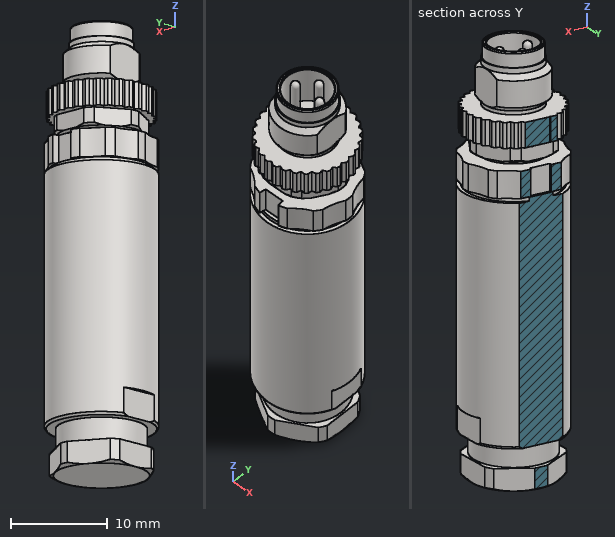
import cadquery as cq
import math

LENGTH = 48.0
GLAND_NUT_TOP = 2.55
BODY_BOTTOM = 5.0
BODY_TOP = 32.3
RING_BOTTOM = 32.75
RING_TOP = 35.8
HEX_BOTTOM = 36.4
KNURL_BOTTOM = 38.25
KNURL_TOP = 41.15
COLLAR_BOTTOM = 41.55
COLLAR_TOP = 45.7
PLUG_STEP = 46.3

GLAND_NUT_FLATS = 10.0
GLAND_NUT_DIAMETER = 11.0
GLAND_NUT_CHAMFER_HEIGHT = 0.3
GLAND_NECK_DIAMETER = 9.5

BODY_DIAMETER = 11.9
BODY_CHAMFER = 0.2
BODY_CHAMFER_HEIGHT = 0.3
BODY_FLATS = 11.05
BODY_FLATS_TOP = 8.0

BODY_GROOVE_DIAMETER = 11.0
GRIP_COUNT = 10
GRIP_LAND_HALF_ANGLE = 4.9
GRIP_DEPTH = 0.3
RING_POCKET_DEPTH = 0.9
RING_POCKET_FLOOR_WIDTH = 2.4
RING_POCKET_MOUTH_WIDTH = 2.7

RING_NECK_DIAMETER = 7.4
HEX_FLATS = 9.1
HEX_DIAMETER = 9.95
HEX_BOTTOM_DIAMETER = 9.3
HEX_CHAMFER_HEIGHT = 0.25

KNURL_DIAMETER = 11.4
KNURL_ROOT_DIAMETER = 10.8
KNURL_COUNT = 30
KNURL_CREST_WIDTH = 0.2
KNURL_GROOVE_WIDTH = 0.75
KNURL_GROOVE_DEPTH = 0.3

PLUG_NECK_DIAMETER = 6.75
PLUG_DIAMETER = 6.55
PLUG_RIM_CHAMFER = 0.15
COLLAR_DIAMETER = 8.0
COLLAR_FLATS = 6.8
COLLAR_CHAMFER_HEIGHT = 0.6
BORE_DIAMETER = 5.6
BORE_MOUTH_DIAMETER = 5.8
BORE_MOUTH_DEPTH = 0.15
BORE_DEPTH = 4.8

PIN_DIAMETER = 1.0
PIN_OFFSET = 1.75
PIN_TIP = 47.7


def cylinder(diameter, bottom, top):
    """Upright cylinder on the Z axis."""
    return cq.Workplane("XY").workplane(offset=bottom).circle(diameter / 2).extrude(top - bottom)


def cone(bottom_diameter, top_diameter, bottom, top):
    """Upright truncated cone on the Z axis."""
    return cq.Workplane("XY").add(
        cq.Solid.makeCone(
            bottom_diameter / 2,
            top_diameter / 2,
            top - bottom,
            pnt=cq.Vector(0, 0, bottom),
        )
    )


def block(size_x, size_y, bottom, top):
    """Upright block on the Z axis."""
    return cq.Workplane("XY").workplane(offset=bottom).rect(size_x, size_y).extrude(top - bottom)


def polar(radius, degrees):
    """Point in the XY plane at a radius and an angle from +X."""
    angle = math.radians(degrees)
    return (radius * math.cos(angle), radius * math.sin(angle))


def hexagon(flats, bottom, top, turn):
    """Hexagonal prism; a corner points along +X before it is turned about Z."""
    across_corners = flats / math.cos(math.radians(30))
    prism = cq.Workplane("XY").workplane(offset=bottom).polygon(6, across_corners).extrude(top - bottom)
    return prism.rotate((0, 0, 0), (0, 0, 1), turn)


def make_gland_nut():
    chamfer_top = GLAND_NUT_CHAMFER_HEIGHT
    turned = cone(GLAND_NUT_FLATS, GLAND_NUT_DIAMETER, 0, chamfer_top)
    turned = turned.union(cylinder(GLAND_NUT_DIAMETER, chamfer_top, GLAND_NUT_TOP))
    return turned.intersect(hexagon(GLAND_NUT_FLATS, 0, GLAND_NUT_TOP, 30))


def make_body():
    chamfer_top = BODY_BOTTOM + BODY_CHAMFER_HEIGHT
    body = cone(BODY_DIAMETER - 2 * BODY_CHAMFER, BODY_DIAMETER, BODY_BOTTOM, chamfer_top)
    body = body.union(cylinder(BODY_DIAMETER, chamfer_top, BODY_TOP))
    lower = block(BODY_FLATS, BODY_DIAMETER, BODY_BOTTOM, BODY_FLATS_TOP)
    upper = cylinder(BODY_DIAMETER, BODY_FLATS_TOP, BODY_TOP)
    return body.intersect(lower.union(upper))


def make_grip_ring():
    """Ring with concave finger grips between lands, and pockets on the +Y and -Y sides."""
    radius = BODY_DIAMETER / 2
    pitch = 360 / GRIP_COUNT
    outline = cq.Workplane("XY").workplane(offset=RING_BOTTOM)
    outline = outline.moveTo(*polar(radius, -GRIP_LAND_HALF_ANGLE))
    for index in range(GRIP_COUNT):
        land = index * pitch
        next_land_start = land + pitch - GRIP_LAND_HALF_ANGLE
        outline = outline.threePointArc(polar(radius, land), polar(radius, land + GRIP_LAND_HALF_ANGLE))
        outline = outline.threePointArc(
            polar(radius - GRIP_DEPTH, land + pitch / 2),
            polar(radius, next_land_start),
        )
    ring = outline.close().extrude(RING_TOP - RING_BOTTOM)

    floor = radius - RING_POCKET_DEPTH
    pocket = (
        cq.Workplane("XY")
        .workplane(offset=RING_BOTTOM)
        .moveTo(-RING_POCKET_FLOOR_WIDTH / 2, floor)
        .lineTo(RING_POCKET_FLOOR_WIDTH / 2, floor)
        .lineTo(RING_POCKET_MOUTH_WIDTH / 2, radius)
        .lineTo(-RING_POCKET_MOUTH_WIDTH / 2, radius)
        .close()
        .extrude(RING_TOP - RING_BOTTOM)
    )
    return ring.cut(pocket).cut(pocket.mirror("XZ"))


def make_hexagon():
    chamfer_top = HEX_BOTTOM + HEX_CHAMFER_HEIGHT
    turned = cone(HEX_BOTTOM_DIAMETER, HEX_DIAMETER, HEX_BOTTOM, chamfer_top)
    turned = turned.union(cylinder(HEX_DIAMETER, chamfer_top, KNURL_BOTTOM))
    return turned.intersect(hexagon(HEX_FLATS, HEX_BOTTOM, KNURL_BOTTOM, 0))


def make_knurled_nut():
    """Nut with V-grooves between teeth whose tops are beveled; a groove faces -Y."""
    crest_radius = KNURL_DIAMETER / 2
    root_radius = KNURL_ROOT_DIAMETER / 2
    pitch = 360 / KNURL_COUNT
    crest_half_angle = math.degrees(math.asin(KNURL_CREST_WIDTH / 2 / crest_radius))
    groove_edge = root_radius + KNURL_GROOVE_DEPTH
    groove_half_angle = math.degrees(math.asin(KNURL_GROOVE_WIDTH / 2 / groove_edge))

    outline = cq.Workplane("XY").workplane(offset=KNURL_BOTTOM)
    outline = outline.moveTo(*polar(crest_radius, -crest_half_angle))
    for index in range(KNURL_COUNT):
        crest = index * pitch
        root = crest + pitch / 2
        outline = outline.threePointArc(
            polar(crest_radius, crest),
            polar(crest_radius, crest + crest_half_angle),
        )
        outline = outline.lineTo(*polar(groove_edge, root - groove_half_angle))
        outline = outline.lineTo(*polar(root_radius, root))
        outline = outline.lineTo(*polar(groove_edge, root + groove_half_angle))
        outline = outline.lineTo(*polar(crest_radius, crest + pitch - crest_half_angle))
    return outline.close().extrude(KNURL_TOP - KNURL_BOTTOM)


def make_collar():
    """Collar coned at both ends, with flats on the +X and -X sides."""
    lower_edge = COLLAR_BOTTOM + COLLAR_CHAMFER_HEIGHT
    upper_edge = COLLAR_TOP - COLLAR_CHAMFER_HEIGHT
    collar = cone(PLUG_NECK_DIAMETER, COLLAR_DIAMETER, COLLAR_BOTTOM, lower_edge)
    collar = collar.union(cylinder(COLLAR_DIAMETER, lower_edge, upper_edge))
    collar = collar.union(cone(COLLAR_DIAMETER, PLUG_NECK_DIAMETER, upper_edge, COLLAR_TOP))
    return collar.intersect(block(COLLAR_FLATS, COLLAR_DIAMETER, COLLAR_BOTTOM, COLLAR_TOP))


def make_bore():
    bore = cylinder(BORE_DIAMETER, LENGTH - BORE_DEPTH, LENGTH)
    return bore.union(cone(BORE_DIAMETER, BORE_MOUTH_DIAMETER, LENGTH - BORE_MOUTH_DEPTH, LENGTH))


def make_pin(x, y):
    """Round pin with a domed tip, standing on the floor of the bore."""
    dome_center = PIN_TIP - PIN_DIAMETER / 2
    pin = cylinder(PIN_DIAMETER, LENGTH - BORE_DEPTH, dome_center)
    pin = pin.union(cq.Workplane("XY").sphere(PIN_DIAMETER / 2).translate((0, 0, dome_center)))
    return pin.translate((x, y, 0))


plug_tip = cylinder(PLUG_DIAMETER, PLUG_STEP, LENGTH).faces(">Z").edges().chamfer(PLUG_RIM_CHAMFER)

result = make_gland_nut()
for section in (
    cylinder(GLAND_NECK_DIAMETER, GLAND_NUT_TOP, BODY_BOTTOM),
    make_body(),
    cylinder(BODY_GROOVE_DIAMETER, BODY_TOP, RING_BOTTOM),
    make_grip_ring(),
    cylinder(RING_NECK_DIAMETER, RING_TOP, HEX_BOTTOM),
    make_hexagon(),
    make_knurled_nut(),
    cylinder(PLUG_NECK_DIAMETER, KNURL_TOP, PLUG_STEP),
    make_collar(),
    plug_tip,
):
    result = result.union(section)

result = result.cut(make_bore())
for pin_x, pin_y in ((-PIN_OFFSET, 0), (PIN_OFFSET, 0), (0, PIN_OFFSET)):
    result = result.union(make_pin(pin_x, pin_y))